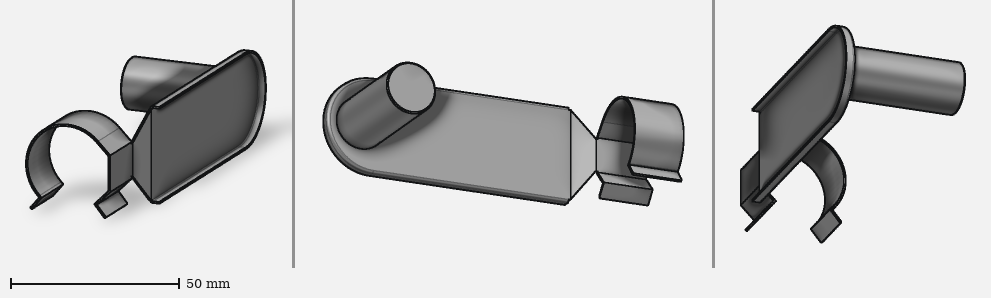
import cadquery as cq
import math


total_length = 103.0
plate_width = 30.0
plate_depth = 3.0
sheet = 0.6
bend_radius = 0.9
plate_start = 23.4
rim_start = 24.0
round_radius = plate_width / 2
round_center = total_length - round_radius

pin_diameter = 16.0
pin_length = 36.0
pin_chamfer = 0.4
pin_y = 92.0

clip_width = 16.0
clip_outer_radius = 13.7
clip_inner_radius = clip_outer_radius - sheet
clip_x = -16.1
jaw_extension = 1.0
lip_length = 5.3
lip_corner_radius = 0.5
lip_angle = 50.0

neck_end = 16.5
neck_x = clip_x + clip_inner_radius
neck_wide = plate_width / 2 - bend_radius
neck_narrow = 5.0


def stadium_end(radius, start, x_from, x_to):
    """Straight-sided block with one fully rounded end, extruded along X."""
    return (
        cq.Workplane("YZ", origin=(x_from, 0, 0))
        .moveTo(start, -radius)
        .lineTo(round_center, -radius)
        .threePointArc((round_center + radius, 0), (round_center, radius))
        .lineTo(start, radius)
        .close()
        .extrude(x_to - x_from)
    )


def make_plate():
    outer = stadium_end(round_radius, rim_start, 0, plate_depth)
    outer = outer.faces("<X").edges("not <Y").fillet(bend_radius)
    inner = stadium_end(round_radius - sheet, rim_start, sheet, plate_depth)
    inner = inner.faces("<X").edges("not <Y").fillet(bend_radius - sheet)
    tongue = cq.Workplane("XY").box(
        sheet, rim_start - plate_start, 2 * neck_wide, centered=(False, False, True)
    )
    return outer.cut(inner).union(tongue.translate((0, plate_start, 0)))


def make_pin():
    return (
        cq.Workplane("YZ", origin=(0, pin_y, 0))
        .circle(pin_diameter / 2)
        .extrude(-pin_length)
        .faces("<X")
        .chamfer(pin_chamfer)
    )


def make_neck():
    """Sloping strip, trimmed to a trapezoid that narrows towards the clip."""
    strip = (
        cq.Workplane("XY")
        .polyline([
            (0, plate_start),
            (neck_x, neck_end),
            (neck_x, clip_width),
            (neck_x + sheet, clip_width),
            (neck_x + sheet, neck_end),
            (sheet, plate_start),
        ])
        .close()
        .extrude(neck_wide, both=True)
    )
    trapezoid = (
        cq.Workplane("YZ", origin=(neck_x, 0, 0))
        .polyline([
            (plate_start, neck_wide),
            (neck_end, neck_narrow),
            (clip_width, neck_narrow),
            (clip_width, -neck_narrow),
            (neck_end, -neck_narrow),
            (plate_start, -neck_wide),
        ])
        .close()
        .extrude(sheet - neck_x)
    )
    return strip.intersect(trapezoid)


def clip_face_points(radius):
    """Corners of one clip face, from the +X jaw end round to the -X jaw end."""
    diagonal = radius * math.sqrt(0.5)
    flat_half = radius * math.tan(math.pi / 8)
    jaw_offset = jaw_extension * math.sqrt(0.5)
    jaw_x = diagonal - jaw_offset
    jaw_z = -diagonal - jaw_offset
    return [
        (jaw_x, jaw_z),
        (radius, -flat_half),
        (radius, flat_half),
        (diagonal, diagonal),
        (-diagonal, diagonal),
        (-diagonal, -diagonal),
        (-jaw_x, jaw_z),
    ]


def make_clip_band():
    """Band with a round back, a flat against the neck and 45 degree jaws."""
    jaw_out, low_out, high_out, start_out, mid_out, end_out, tip_out = clip_face_points(clip_outer_radius)
    jaw_in, low_in, high_in, start_in, mid_in, end_in, tip_in = clip_face_points(clip_inner_radius)
    return (
        cq.Workplane("XZ", origin=(clip_x, clip_width, 0))
        .moveTo(*jaw_out)
        .lineTo(*low_out)
        .lineTo(*high_out)
        .lineTo(*start_out)
        .threePointArc(mid_out, end_out)
        .lineTo(*tip_out)
        .lineTo(*tip_in)
        .lineTo(*end_in)
        .threePointArc(mid_in, start_in)
        .lineTo(*high_in)
        .lineTo(*low_in)
        .lineTo(*jaw_in)
        .close()
        .extrude(clip_width)
    )


def make_lip():
    """Lip flaring outwards and down from the end of the +X jaw."""
    jaw_x, jaw_z = clip_face_points(clip_inner_radius)[0]
    return (
        cq.Workplane("XY")
        .box(lip_length, clip_width, sheet, centered=False)
        .edges("|Z and >X")
        .fillet(lip_corner_radius)
        .rotate((0, 0, 0), (0, 1, 0), lip_angle)
        .translate((clip_x + jaw_x, 0, jaw_z))
    )


def make_clip():
    lip = make_lip()
    opposite_lip = lip.mirror("YZ", (clip_x, 0, 0))
    return make_clip_band().union(lip).union(opposite_lip)


result = make_plate().union(make_pin()).union(make_neck()).union(make_clip())